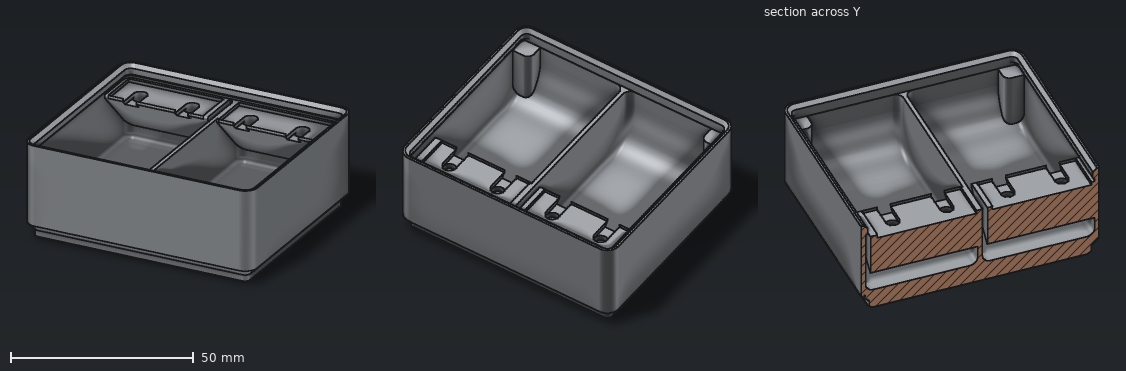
import cadquery as cq
import math

LENGTH = 70.5
WIDTH = 61.5
HEIGHT = 29.0
CORNER_RADIUS = 3.75

FOOT_CHAMFER = 0.8
FOOT_STRAIGHT = 1.8
FOOT_FLARE = 2.2

RIM_FLAT = 0.7
RIM_CHAMFER = 1.2
RIM_STRAIGHT = 1.8
RIM_INSET = RIM_FLAT + RIM_CHAMFER

WALL = 1.35
FRONT_WALL = 2.0
DIVIDER = 1.3
FLOOR = 6.05
POCKET_FILLET = CORNER_RADIUS - WALL
SCOOP_RADIUS = 13.0
POCKET_LENGTH = (LENGTH - 2 * WALL - DIVIDER) / 2
POCKET_FRONT = -WIDTH / 2 + FRONT_WALL
POCKET_BACK = WIDTH / 2 - WALL
POCKET_LEFTS = (-LENGTH / 2 + WALL, DIVIDER / 2)

LEDGE = HEIGHT - 4.3

SHELF_LENGTH = 31.8
SHELF_DEPTH = 13.5
NOSE_RADIUS = 0.6
RECESS_LENGTH = 29.2
RECESS_WIDTH = 12.1
RECESS_DEPTH = 1.0
RECESS_PITCH = 34.0
RECESS_MIDDLE = -1.3
RECESS_BACK = 28.35
HOLE_DIAMETER = 4.0
HOLE_PITCH = 15.9
HOLE_Y = 22.4
HOLE_DEPTH = 3.0
SLOT_DEPTH = 1.3

POST_SIZE = 5.15
POST_RADIUS = 2.1


def rounded_block(inset, bottom, height, taper_out=0.0):
    """Rounded rectangle set in from the outer walls; taper_out widens it evenly over its height."""
    block = (
        cq.Workplane("XY")
        .workplane(offset=bottom)
        .sketch()
        .rect(LENGTH - 2 * inset, WIDTH - 2 * inset)
        .vertices()
        .fillet(CORNER_RADIUS - inset)
        .finalize()
    )
    taper = -math.degrees(math.atan2(taper_out, height))
    return block.extrude(height, taper=taper)


def box_between(x0, x1, y0, y1, z0, z1):
    block = cq.Workplane("XY").box(x1 - x0, y1 - y0, z1 - z0, centered=False)
    return block.translate((x0, y0, z0))


def outer_body():
    straight_bottom = FOOT_CHAMFER
    flare_bottom = straight_bottom + FOOT_STRAIGHT
    body_bottom = flare_bottom + FOOT_FLARE
    body = rounded_block(0, body_bottom, HEIGHT - body_bottom)
    body = body.union(rounded_block(FOOT_FLARE, flare_bottom, FOOT_FLARE, FOOT_FLARE))
    body = body.union(rounded_block(FOOT_FLARE, straight_bottom, FOOT_STRAIGHT))
    return body.union(rounded_block(FOOT_FLARE + FOOT_CHAMFER, 0, FOOT_CHAMFER, FOOT_CHAMFER))


def rim_opening():
    """Space above the ledge: flared mouth, straight throat, and an undercut out to the thin walls.

    The front wall is thick up to the rim, so the undercut stops there.
    """
    chamfer_bottom = HEIGHT - RIM_CHAMFER
    throat_bottom = chamfer_bottom - RIM_STRAIGHT
    undercut = RIM_INSET - WALL
    undercut_bottom = throat_bottom - undercut
    opening = rounded_block(RIM_INSET, LEDGE, HEIGHT - LEDGE)
    opening = opening.union(rounded_block(RIM_INSET, chamfer_bottom, RIM_CHAMFER, RIM_CHAMFER))
    wide = rounded_block(WALL, LEDGE, undercut_bottom - LEDGE)
    wide = wide.union(rounded_block(WALL, undercut_bottom, undercut, -undercut))
    behind_front_wall = box_between(-LENGTH / 2, LENGTH / 2, POCKET_FRONT, WIDTH / 2, 0, HEIGHT)
    return opening.union(wide.intersect(behind_front_wall))


def pocket(left):
    """Compartment with a scooped front, all lower and upright edges rounded."""
    block = (
        cq.Workplane("YZ")
        .moveTo(POCKET_FRONT, LEDGE)
        .lineTo(POCKET_FRONT, FLOOR + SCOOP_RADIUS)
        .radiusArc((POCKET_FRONT + SCOOP_RADIUS, FLOOR), -SCOOP_RADIUS)
        .lineTo(POCKET_BACK, FLOOR)
        .lineTo(POCKET_BACK, LEDGE)
        .close()
        .extrude(POCKET_LENGTH)
        .translate((left, 0, 0))
    )
    block = block.faces(">Y").edges("<Z").fillet(POCKET_FILLET)
    return block.faces("<X or >X").edges("not >Z").fillet(POCKET_FILLET)


def shelf(left):
    """Bracket on the back wall with a 45 degree underside and a rounded nose."""
    front = POCKET_BACK - SHELF_DEPTH
    tip = front - NOSE_RADIUS * math.sqrt(2)
    bracket = (
        cq.Workplane("YZ")
        .moveTo(tip, LEDGE)
        .lineTo(POCKET_BACK, LEDGE)
        .lineTo(POCKET_BACK, LEDGE - (POCKET_BACK - tip))
        .close()
        .extrude(SHELF_LENGTH)
        .translate((left, 0, 0))
    )
    return bracket.edges("<Y").fillet(NOSE_RADIUS)


def label_recess(middle):
    """Shallow label seat with two magnet holes, each with a slot running out of the front."""
    seat = LEDGE - RECESS_DEPTH
    cut = box_between(
        middle - RECESS_LENGTH / 2, middle + RECESS_LENGTH / 2,
        RECESS_BACK - RECESS_WIDTH, RECESS_BACK, seat, LEDGE,
    )
    for x in (middle - HOLE_PITCH / 2, middle + HOLE_PITCH / 2):
        hole = cq.Workplane("XY").circle(HOLE_DIAMETER / 2).extrude(LEDGE - seat + HOLE_DEPTH)
        cut = cut.union(hole.translate((x, HOLE_Y, seat - HOLE_DEPTH)))
        cut = cut.union(box_between(
            x - HOLE_DIAMETER / 2, x + HOLE_DIAMETER / 2,
            POCKET_BACK - SHELF_DEPTH, HOLE_Y, seat - SLOT_DEPTH, LEDGE,
        ))
    return cut


def corner_post(side):
    """Upright post in a front corner; side is -1 for left and 1 for right."""
    inner = LENGTH / 2 - RIM_INSET - POST_SIZE
    post = box_between(inner, LENGTH / 2 - WALL, POCKET_FRONT, POCKET_FRONT + POST_SIZE, FLOOR, LEDGE)
    post = post.edges("|Z and <X and >Y").fillet(POST_RADIUS)
    return post if side > 0 else post.mirror("YZ")


result = outer_body().cut(rim_opening())
for pocket_left in POCKET_LEFTS:
    result = result.cut(pocket(pocket_left))
for pocket_left in POCKET_LEFTS:
    result = result.union(shelf(pocket_left))
for side in (-1, 1):
    result = result.cut(label_recess(RECESS_MIDDLE + side * RECESS_PITCH / 2))
    result = result.union(corner_post(side))